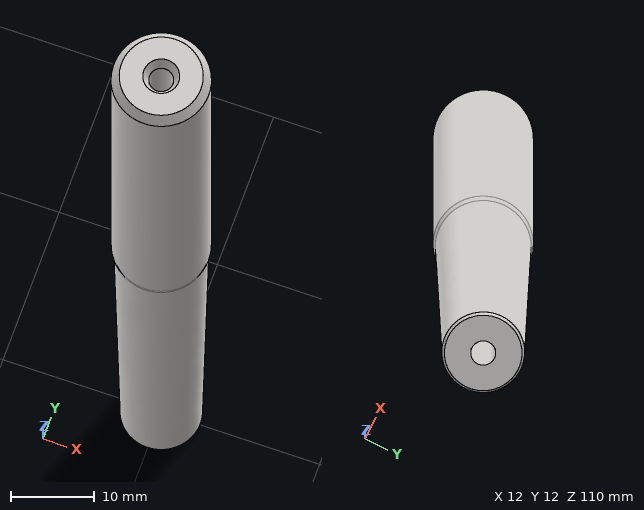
import cadquery as cq
import math

total_length = 110.0
shank_diameter = 12.0
shank_bottom_z = 54.9
top_chamfer_width = 1.0
top_chamfer_height = 1.1

neck_height = 1.1
taper_top_diameter = 11.4
tip_diameter = 9.9
tip_chamfer = 0.3

bore_diameter = 3.0
bore_entry_diameter = 4.4
bore_entry_angle = 60.0


def pin_body():
    """Revolve the half outline of the shank, neck and taper about Z."""
    shank_radius = shank_diameter / 2
    return (
        cq.Workplane("XZ")
        .moveTo(0, 0)
        .lineTo(tip_diameter / 2 - tip_chamfer, 0)
        .lineTo(tip_diameter / 2, tip_chamfer)
        .lineTo(taper_top_diameter / 2, shank_bottom_z - neck_height)
        .lineTo(shank_radius, shank_bottom_z)
        .lineTo(shank_radius, total_length - top_chamfer_height)
        .lineTo(shank_radius - top_chamfer_width, total_length)
        .lineTo(0, total_length)
        .close()
        .revolve(360, (0, 0, 0), (0, 1, 0))
    )


def bore():
    """Cutter for the axial hole, with a 60 degree entry cone like a centre hole."""
    entry_width = (bore_entry_diameter - bore_diameter) / 2
    entry_depth = entry_width / math.tan(math.radians(bore_entry_angle / 2))
    return (
        cq.Workplane("XZ")
        .moveTo(0, 0)
        .lineTo(bore_diameter / 2, 0)
        .lineTo(bore_diameter / 2, total_length - entry_depth)
        .lineTo(bore_entry_diameter / 2, total_length)
        .lineTo(0, total_length)
        .close()
        .revolve(360, (0, 0, 0), (0, 1, 0))
    )


result = pin_body().cut(bore())